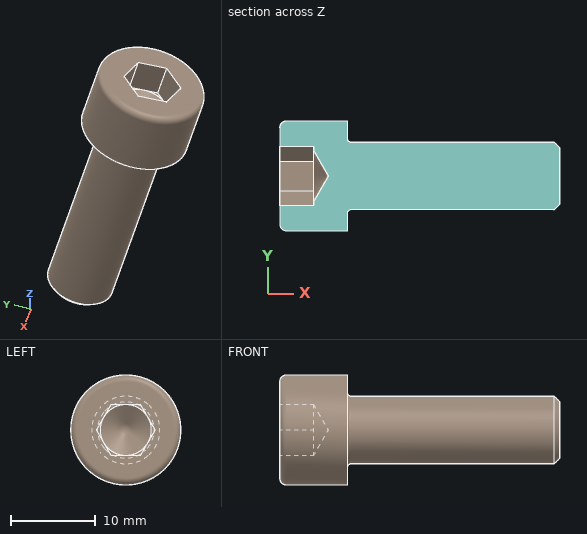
import cadquery as cq
import math

thread_diameter = 8.0
thread_root_diameter = 6.65
shank_length = 25.0
head_diameter = 13.0
head_height = 8.0
head_edge_radius = 0.8
neck_fillet_radius = 0.4
hex_across_flats = 6.0
hex_depth = 4.0
hex_sides = 6
socket_cone_angle = 120.0

shank_radius = thread_diameter / 2
end_chamfer = (thread_diameter - thread_root_diameter) / 2
head_top_x = -head_height


def make_head():
    """Cylinder with a rounded outer edge on its top face."""
    head = cq.Workplane("YZ", origin=(head_top_x, 0, 0)).circle(head_diameter / 2).extrude(head_height)
    return head.faces("<X").edges().fillet(head_edge_radius)


def make_shank():
    """Plain cylinder, chamfered at its free end down to the thread root."""
    shank = cq.Workplane("YZ").circle(shank_radius).extrude(shank_length)
    return shank.faces(">X").edges().chamfer(end_chamfer)


def make_neck_fillet():
    """Core disc with a concave rim that blends the shank into the bearing face."""
    arc_centre = (neck_fillet_radius, shank_radius + neck_fillet_radius)
    arc_offset = neck_fillet_radius * math.sqrt(0.5)
    arc_middle = (arc_centre[0] - arc_offset, arc_centre[1] - arc_offset)
    return (
        cq.Workplane("XY")
        .moveTo(0, 0)
        .lineTo(0, shank_radius + neck_fillet_radius)
        .threePointArc(arc_middle, (neck_fillet_radius, shank_radius))
        .lineTo(neck_fillet_radius, 0)
        .close()
        .revolve(360, (0, 0, 0), (1, 0, 0))
    )


def make_socket():
    """Hexagonal prism, corners on the Y axis, ending in a drill-point cone."""
    hex_across_corners = hex_across_flats / math.cos(math.pi / hex_sides)
    prism = (
        cq.Workplane("YZ", origin=(head_top_x, 0, 0))
        .polygon(hex_sides, hex_across_corners)
        .extrude(hex_depth)
    )
    cone_radius = hex_across_flats / 2
    cone_depth = cone_radius / math.tan(math.radians(socket_cone_angle / 2))
    cone_base_x = head_top_x + hex_depth
    cone = (
        cq.Workplane("XY")
        .moveTo(cone_base_x, 0)
        .lineTo(cone_base_x, cone_radius)
        .lineTo(cone_base_x + cone_depth, 0)
        .close()
        .revolve(360, (0, 0, 0), (1, 0, 0))
    )
    return prism.union(cone)


screw = make_head().union(make_shank()).union(make_neck_fillet())
result = screw.cut(make_socket())